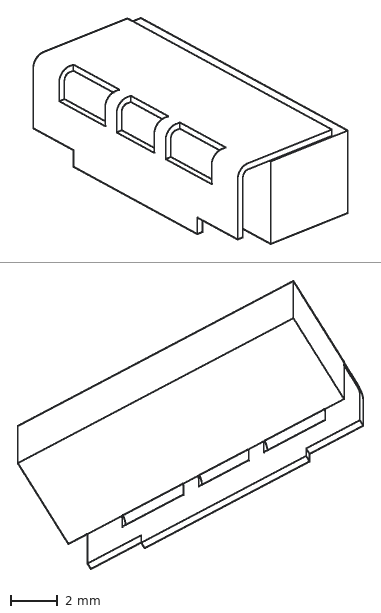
import cadquery as cq

length = 13.6
depth = 6.15
height = 4.3

sheet = 0.3
bend_outer_radius = 0.58
bend_inner_radius = bend_outer_radius - sheet
cover_length = 13.44
cover_back_setback = 0.83

block_depth = 4.35
block_height = height - sheet

side_window_width = 3.02
middle_window_width = 2.48
window_bridge = 0.75
window_sill_height = 2.8
window_inset = 0.8

foot_width = 8.13
notch_height = 0.8

front_y = -depth / 2
back_y = depth / 2


def box_between(x_range, y_range, z_range):
    """Axis-aligned box given by its lower and upper limits on each axis."""
    low, high = zip(x_range, y_range, z_range)
    size = [upper - lower for lower, upper in zip(low, high)]
    return cq.Workplane("XY").box(*size, centered=False).translate(low)


def make_block():
    return box_between(
        (-length / 2, length / 2),
        (back_y - block_depth, back_y),
        (0, block_height),
    )


def make_bent_sheet():
    """L-shaped sheet: flat top, rounded bend and a flange down to the base."""
    cover_back_y = back_y - cover_back_setback
    bend_y = front_y + bend_outer_radius
    bend_z = height - bend_outer_radius
    flange_back_y = front_y + sheet
    return (
        cq.Workplane("YZ")
        .moveTo(cover_back_y, height)
        .lineTo(bend_y, height)
        .radiusArc((front_y, bend_z), -bend_outer_radius)
        .lineTo(front_y, 0)
        .lineTo(flange_back_y, 0)
        .lineTo(flange_back_y, bend_z)
        .radiusArc((bend_y, block_height), bend_inner_radius)
        .lineTo(cover_back_y, block_height)
        .close()
        .extrude(cover_length / 2, both=True)
    )


def cut_windows(cover):
    """Three openings across the bend, separated by narrow bridges."""
    side_offset = middle_window_width / 2 + window_bridge + side_window_width / 2
    windows = [
        (-side_offset, side_window_width),
        (0, middle_window_width),
        (side_offset, side_window_width),
    ]
    for center_x, width in windows:
        opening = box_between(
            (center_x - width / 2, center_x + width / 2),
            (front_y, front_y + window_inset),
            (window_sill_height, height),
        )
        cover = cover.cut(opening)
    return cover


def cut_foot_notches(cover):
    """Remove both lower corners of the flange, leaving a central foot."""
    for inner_x, outer_x in [
        (-cover_length / 2, -foot_width / 2),
        (foot_width / 2, cover_length / 2),
    ]:
        notch = box_between(
            (inner_x, outer_x),
            (front_y, front_y + sheet),
            (0, notch_height),
        )
        cover = cover.cut(notch)
    return cover


cover = cut_foot_notches(cut_windows(make_bent_sheet()))
result = make_block().union(cover)